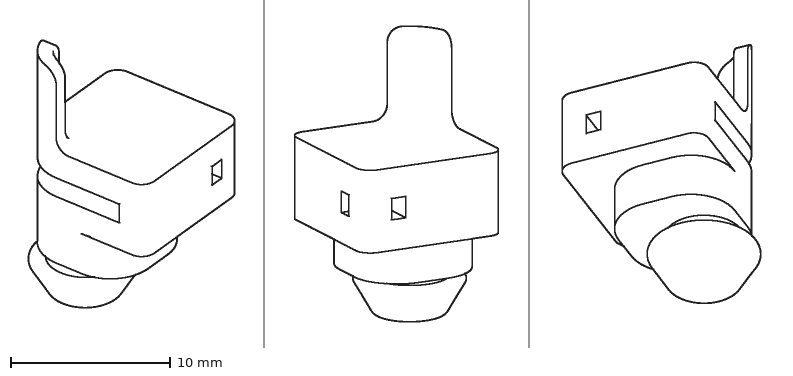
import cadquery as cq
import math


block_side = 10.0
block_bottom = 6.5
block_top = 11.9
block_corner_radius = 1.0

post_radius = 3.0
post_wall = 1.0
post_inner_radius = post_radius - post_wall
post_top = 17.9
post_end_round = 1.0
post_base_fillet = 1.0
hollow_rim_round = 0.1

axis = post_radius

foot_side = 8.0
foot_bottom = 3.5

slot_bottom = 8.5
slot_height = 1.4
slot_reach = foot_side
slit_width = 1.0

neck_radius = 2.5
head_radius = 3.58
head_height = 2.5
head_slope = math.radians(30)
rim_round = 0.23
tip_round = 0.5

pick_margin = 0.02


def box(x_range, y_range, z_range):
    """Box between the given limits along X, Y and Z."""
    ranges = (x_range, y_range, z_range)
    sizes = [high - low for low, high in ranges]
    lowest_corner = tuple(low for low, high in ranges)
    return cq.Workplane("XY").box(*sizes, centered=False).translate(lowest_corner)


def cylinder(radius, bottom, top):
    """Cylinder on the shared axis."""
    return cq.Workplane("XY", origin=(axis, axis, bottom)).circle(radius).extrude(top - bottom)


def make_block():
    block = box((0, block_side), (0, block_side), (block_bottom, block_top))
    block = block.edges("|Z and (not <(1, 1, 0))").fillet(block_corner_radius)
    return block.edges("|Z and <(1, 1, 0)").fillet(post_radius)


def make_foot():
    foot = box((0, foot_side), (0, foot_side), (foot_bottom, block_bottom))
    return foot.edges("|Z").fillet(post_radius)


def nearest_to_hollow(z):
    """Selector for whatever lies nearest the middle of the post's hollow side at height z."""
    middle = axis - post_inner_radius * math.sin(math.pi / 4)
    return cq.selectors.NearestToPointSelector((middle, middle, z))


def make_post():
    ring = cylinder(post_radius, block_top, post_top).cut(cylinder(post_inner_radius, block_top, post_top))
    post = ring.intersect(box((0, axis), (0, axis), (block_top, post_top)))

    post = post.faces(">Z").edges(">X or >Y").fillet(post_end_round)

    mid_height = (block_top + post_top) / 2
    base_edge = nearest_to_hollow(block_top)
    rim = post.faces(nearest_to_hollow(mid_height)).edges(cq.selectors.InverseSelector(base_edge))
    return rim.fillet(hollow_rim_round)


def blend_post_base(body):
    """Fillet the post's two ends and hollow side, a single smooth chain of edges, into the block."""
    base_box = cq.selectors.BoxSelector(
        (pick_margin, pick_margin, block_top - pick_margin),
        (axis + pick_margin, axis + pick_margin, block_top + pick_margin),
    )
    return body.edges(base_box).fillet(post_base_fillet)


def make_slot():
    z_range = (slot_bottom, slot_bottom + slot_height)
    pocket_range = (0, slot_reach)
    slit_range = (slot_reach - slit_width, slot_reach)
    through_range = (0, block_side)
    pocket = box(pocket_range, pocket_range, z_range)
    slit_along_y = box(slit_range, through_range, z_range)
    slit_along_x = box(through_range, slit_range, z_range)
    return pocket.union(slit_along_y).union(slit_along_x)


def make_stud():
    rim_angle = math.pi / 2 - head_slope
    sharp_rim_radius = head_radius + rim_round * (1 / math.tan(rim_angle / 2) - 1)
    sharp_tip_radius = sharp_rim_radius - head_height * math.tan(head_slope)

    profile = [(0, 0), (sharp_tip_radius, 0), (sharp_rim_radius, head_height), (0, head_height)]
    head = cq.Workplane("XZ").polyline(profile).close().revolve(360, (0, 0, 0), (0, 1, 0))
    head = head.faces(">Z").edges().fillet(rim_round)
    head = head.faces("<Z").edges().fillet(tip_round)
    return head.translate((axis, axis, 0)).union(cylinder(neck_radius, head_height, foot_bottom))


block_and_post = blend_post_base(make_block().union(make_post()))
result = block_and_post.union(make_foot()).union(make_stud()).cut(make_slot())